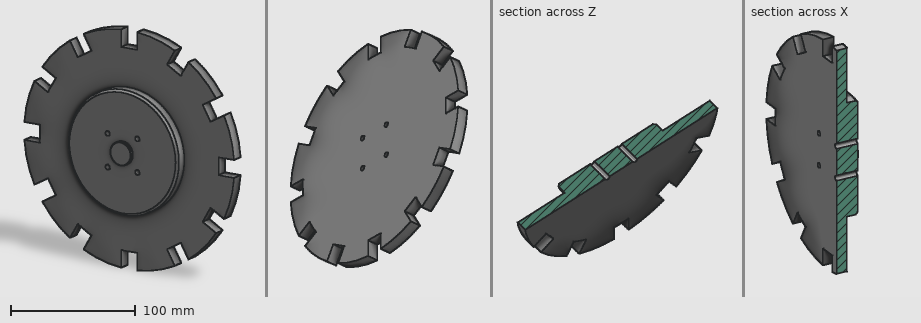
import cadquery as cq
import math

OVERALL_SPAN = 199.5
DISC_THICKNESS = 10.0
SLOT_COUNT = 12
SLOT_WIDTH = 15.0
SLOT_FLOOR_RADIUS = 85.0

BOSS_RADIUS = 52.5
BOSS_HEIGHT = 10.0
BOSS_CHAMFER = 2.0

HUB_RADIUS = 10.0
HUB_HEIGHT = 3.0
HUB_CHAMFER = 0.5

HOLE_COUNT = 4
HOLE_DIAMETER = 4.2
HOLE_CIRCLE_RADIUS = 20.0
HOLE_START_ANGLE = 45.0

disc_radius = math.hypot(OVERALL_SPAN / 2, SLOT_WIDTH / 2)


def round_step(radius, height):
    """Cylinder growing toward -Y from Y = 0."""
    return cq.Workplane("XZ").circle(radius).extrude(height)


def slot_cutters():
    """Radial flat-floored slots, equally spaced around the rim."""
    slot_length = disc_radius - SLOT_FLOOR_RADIUS + SLOT_WIDTH
    return (
        cq.Workplane("XZ")
        .polarArray(SLOT_FLOOR_RADIUS + slot_length / 2, 0, 360, SLOT_COUNT)
        .rect(slot_length, SLOT_WIDTH)
        .extrude(DISC_THICKNESS)
    )


def hole_cutters():
    """Through holes around the hub."""
    return (
        cq.Workplane("XZ")
        .polarArray(HOLE_CIRCLE_RADIUS, HOLE_START_ANGLE, 360, HOLE_COUNT)
        .circle(HOLE_DIAMETER / 2)
        .extrude(DISC_THICKNESS + BOSS_HEIGHT)
    )


disc = round_step(disc_radius, DISC_THICKNESS).cut(slot_cutters())
boss = round_step(BOSS_RADIUS, DISC_THICKNESS + BOSS_HEIGHT).faces("<Y").chamfer(BOSS_CHAMFER)
hub = round_step(HUB_RADIUS, DISC_THICKNESS + BOSS_HEIGHT + HUB_HEIGHT).faces("<Y").chamfer(HUB_CHAMFER)

result = disc.union(boss).union(hub).cut(hole_cutters())